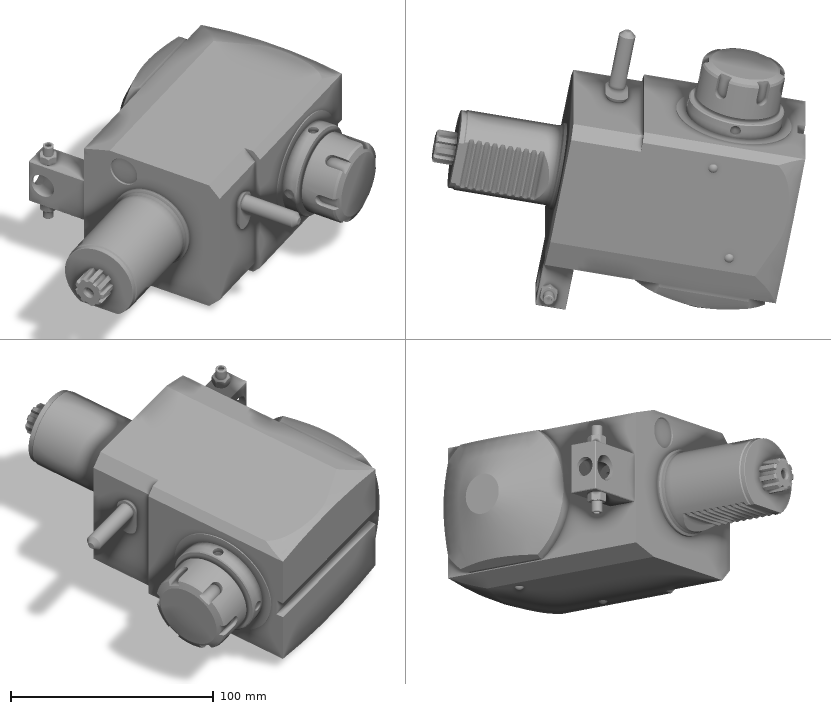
import cadquery as cq
import math


half_height = 37.6
left_x = -38.8
left_half_height = 33.3
left_slope_x = -24.2
right_x = 41.5
right_chamfer = 4.0
step_x = 38.7
step_chamfer = 6.0
step_length = 35.0
rear_y = 116.2
crown_y = 103.0
crown_start = [
    (left_x, 36.2),
    (left_slope_x, half_height),
    (-5.4, 38.7),
    (21.5, 40.5),
    (right_x, 36.2),
]
crown_end = [
    (left_x, left_half_height),
    (12.5, 36.7),
    (right_x, half_height - right_chamfer),
]
rear_slot_width = 9.7
rear_slot_depth = 4.0
sight_x, sight_z = -16.1, 27.5
sight_radius = 7.7
sight_floor_radius = 7.3
sight_depth = 0.7

spindle_y = 80.2
flange_radius = 29.0
flange_end_x = 42.0
ring_radius = 24.0
ring_end_x = 50.0
ring_edge = 0.5
neck_radius = 16.6
nut_start_x = 51.0
nut_radius = 21.0
nut_front_radius = 16.8
nut_edge_x = 69.0
nut_shoulder_x = 70.2
nut_end_x = 71.6
ring_hole_radius = 2.7
ring_hole_x = 46.0
ring_hole_depth = 2.7
ring_hole_tip = 1.6
ring_hole_count = 4
nut_slot_width = 6.5
nut_slot_start_x = 59.0
nut_slot_floor = 17.9
nut_slot_count = 6

cap_radius = 39.7
cap_rim_x = -44.8
cap_nose_x = -58.7
cap_nose_radius = 10.2
cap_flat_reach = 31.5
cap_half_height = 32.8
cap_taper_x = -40.8
cap_taper_angle = 13.0

collar_radius = 21.7
collar_straight = 1.5
collar_length = 2.1
collar_foot_radius = 20.5
collar_foot_end = 3.5
shank_radius = 20.0
shank_shoulder = 49.5
shank_length = 52.6
shank_end_radius = 19.5
shank_end_edge = 0.5
shank_end_chamfer = 0.2
rack_tip = 16.1
rack_root = 14.9
rack_pitch = 4.0
rack_first_tip = 9.3
rack_groove_count = 10
rack_tip_width = 0.5
rack_flank = 0.9

spline_tip = 8.2
spline_root = 6.5
spline_length = 10.2
spline_edge = 0.9
spline_teeth = 9
spline_tip_share = 0.2
spline_root_share = 0.3
center_hole_radius = 2.1
center_sink_radius = 3.0
center_hole_depth = 3.5

coolant_left_x = -71.0
coolant_front_y, coolant_rear_y = 1.0, 16.3
coolant_half_height = 12.4
coolant_edge = 0.4
cross_hole_radius = 6.5
cross_hole_x = -63.0
inlet_radius = 4.8
inlet_y = 7.7
inlet_end_x = -51.9
duct_radius = 1.3
duct_end_x = -44.8
stud_x, stud_y = -62.8, 6.3
hex_nut_corners = 9.3
hex_nut_height = 4.3
hex_nut_edge = 0.5
stud_radius = 2.7
stud_end_z = 22.2
stud_edge = 0.4
stud_socket_corners = 3.5
stud_socket_depth = 1.8

pin_y, pin_z = 21.5, 16.0
pin_radius = 4.1
pin_end_x = 71.6
pin_tip_length = 2.3
pin_tip_radius = 1.8
pin_seat_radius = 4.8
pin_seat_rim_radius = 5.7
pin_seat_height = 2.1
pin_seat_spacing = 9.8

screw_heads = [(-16.8, 88.6), (30.0, 72.0)]
screw_head_radius = 2.3
screw_head_height = 1.5


def turned_about_x(profile, y=0.0, z=0.0):
    """Solid of revolution about an axis along X; the profile holds (x, radius) points."""
    start, end = profile[0][0], profile[-1][0]
    outline = [(start, 0)] + profile + [(end, 0)]
    section = cq.Workplane("XY", origin=(0, y, z)).polyline(outline).close()
    return section.revolve(360, (0, 0, 0), (1, 0, 0))


def turned_about_y(profile):
    """Solid of revolution about the Y axis; the profile holds (radius, y) points."""
    start, end = profile[0][1], profile[-1][1]
    outline = [(0, start)] + profile + [(0, end)]
    return cq.Workplane("XY").polyline(outline).close().revolve(360, (0, 0, 0), (0, 1, 0))


def mirrored_below(upper):
    """The (x, z) points reversed and mirrored to negative z."""
    return [(x, -z) for x, z in reversed(upper)]


def box_between(x, y, z):
    """Box spanning the given (low, high) pairs."""
    sizes = [high - low for low, high in (x, y, z)]
    return cq.Workplane("XY", origin=(x[0], y[0], z[0])).box(*sizes, centered=False)


def extruded_along_y(outline, start, end):
    """Prism with an (x, z) outline between two Y positions."""
    return cq.Workplane("XZ", origin=(0, start, 0)).polyline(outline).close().extrude(start - end)


def housing_outline(face_x, chamfer):
    """Housing cross-section with sloped left flanks and chamfered right edges."""
    upper = [
        (left_x, left_half_height),
        (left_slope_x, half_height),
        (face_x - chamfer, half_height),
        (face_x, half_height - chamfer),
    ]
    return upper + mirrored_below(upper)


def crown_section(workplane, upper):
    """Closed section with curved top and bottom edges across the housing width."""
    lower = mirrored_below(upper)
    return (
        workplane.moveTo(*upper[0])
        .spline(upper[1:], includeCurrent=True)
        .lineTo(*lower[0])
        .spline(lower[1:], includeCurrent=True)
        .close()
    )


def build_housing():
    rear = extruded_along_y(housing_outline(right_x, right_chamfer), step_length, rear_y)
    front = extruded_along_y(housing_outline(step_x, step_chamfer), 0, step_length)

    crown = crown_section(cq.Workplane("XZ", origin=(0, crown_y, 0)), crown_start)
    crown = crown_section(crown.workplane(offset=crown_y - rear_y), crown_end).loft(ruled=True)
    rear_end = box_between((left_x, right_x), (crown_y, rear_y), (-half_height, half_height))
    body = rear.cut(rear_end.cut(crown)).union(front)

    half_slot = rear_slot_width / 2
    slot = box_between((left_x, right_x), (rear_y - rear_slot_depth, rear_y), (-half_slot, half_slot))
    sight = turned_about_y([(sight_radius, 0), (sight_floor_radius, sight_depth)])
    sight = sight.translate((sight_x, 0, sight_z))
    return body.cut(slot).cut(sight)


def turn_about_spindle(solid, angle):
    """Copy of a solid turned about the spindle axis by an angle in degrees."""
    return solid.rotate((0, spindle_y, 0), (1, spindle_y, 0), angle)


def build_spindle():
    body = turned_about_x(
        [
            (left_x, flange_radius),
            (flange_end_x, flange_radius),
            (flange_end_x, ring_radius),
            (ring_end_x - ring_edge, ring_radius),
            (ring_end_x, ring_radius - ring_edge),
            (ring_end_x, neck_radius),
            (nut_start_x, neck_radius),
            (nut_start_x, nut_radius - ring_edge),
            (nut_start_x + ring_edge, nut_radius),
            (nut_edge_x, nut_radius),
            (nut_shoulder_x, nut_radius - ring_edge),
            (nut_end_x, nut_front_radius),
        ],
        y=spindle_y,
    )
    floor = ring_radius - ring_hole_depth
    for index in range(ring_hole_count):
        hole = (
            cq.Workplane("XZ", origin=(ring_hole_x, spindle_y, 0))
            .moveTo(0, floor - ring_hole_tip)
            .lineTo(ring_hole_radius, floor)
            .lineTo(ring_hole_radius, ring_radius)
            .lineTo(0, ring_radius)
            .close()
            .revolve(360, (0, 0, 0), (0, 1, 0))
        )
        body = body.cut(turn_about_spindle(hole, index * 360 / ring_hole_count))

    slot_length = nut_end_x - nut_slot_start_x
    for index in range(nut_slot_count):
        slot = (
            cq.Workplane("XY", origin=(nut_end_x, spindle_y, nut_slot_floor))
            .slot2D(2 * slot_length, nut_slot_width)
            .extrude(nut_radius)
        )
        body = body.cut(turn_about_spindle(slot, (index + 0.5) * 360 / nut_slot_count))
    return body


def build_cap():
    cone = turned_about_x(
        [(left_x, cap_radius), (cap_rim_x, cap_radius), (cap_nose_x, cap_nose_radius)],
        y=spindle_y,
    )
    taper_drop = (cap_taper_x - cap_nose_x) * math.tan(math.radians(cap_taper_angle))
    upper = [
        (left_x, cap_half_height),
        (cap_taper_x, cap_half_height),
        (cap_nose_x, cap_half_height - taper_drop),
    ]
    side = extruded_along_y(
        upper + mirrored_below(upper), spindle_y - cap_radius, spindle_y + cap_flat_reach
    )
    return cone.intersect(side)


def build_shank():
    body = turned_about_y(
        [
            (collar_radius, 0),
            (collar_radius, -collar_straight),
            (collar_foot_radius, -collar_length),
            (shank_radius, -collar_foot_end),
            (shank_radius, -shank_shoulder),
            (shank_end_radius, -shank_shoulder - shank_end_edge),
            (shank_end_radius, shank_end_chamfer - shank_length),
            (shank_end_radius - shank_end_chamfer, -shank_length),
        ]
    )
    runout = rack_first_tip - (collar_radius - rack_tip)
    outline = [(-runout, -collar_radius)]
    for index in range(rack_groove_count):
        tip = -rack_first_tip - index * rack_pitch
        next_tip = tip - rack_pitch
        outline += [
            (tip, -rack_tip),
            (tip - rack_flank, -rack_root),
            (next_tip + rack_tip_width + rack_flank, -rack_root),
            (next_tip + rack_tip_width, -rack_tip),
        ]
    outline += [(-shank_length, -rack_tip), (-shank_length, -collar_radius)]
    rack = (
        cq.Workplane("YZ", origin=(-collar_radius, 0, 0))
        .polyline(outline)
        .close()
        .extrude(2 * collar_radius)
    )
    return body.cut(rack)


def build_spline():
    end = shank_length + spline_length
    tooth_angle = 360 / spline_teeth
    tooth = [
        (-spline_tip_share, spline_tip),
        (spline_tip_share, spline_tip),
        (spline_root_share, spline_root),
        (1 - spline_root_share, spline_root),
    ]
    points = []
    for index in range(spline_teeth):
        for offset, radius in tooth:
            angle = math.radians((index + offset) * tooth_angle)
            points.append((radius * math.cos(angle), radius * math.sin(angle)))
    teeth = extruded_along_y(points, -shank_length, -end)
    envelope = turned_about_y(
        [(spline_tip, -shank_length), (spline_tip, spline_edge - end), (spline_tip - spline_edge, -end)]
    )
    sink = center_sink_radius - center_hole_radius
    center_hole = turned_about_y(
        [
            (center_hole_radius, center_hole_depth - end),
            (center_hole_radius, sink - end),
            (center_sink_radius, -end),
        ]
    )
    return teeth.intersect(envelope).cut(center_hole)


def build_coolant_block():
    block = box_between(
        (coolant_left_x, left_x),
        (coolant_front_y, coolant_rear_y),
        (-coolant_half_height, coolant_half_height),
    )
    block = block.edges("|X").chamfer(coolant_edge).faces("<X").edges().chamfer(coolant_edge)
    cross_hole = (
        cq.Workplane("XZ", origin=(cross_hole_x, coolant_rear_y, 0))
        .circle(cross_hole_radius)
        .extrude(coolant_rear_y)
    )
    inlet = turned_about_x([(coolant_left_x, inlet_radius), (inlet_end_x, inlet_radius)], y=inlet_y)
    duct = turned_about_x([(inlet_end_x, duct_radius), (duct_end_x, duct_radius)], y=inlet_y)
    stud = build_stud()
    lower_stud = stud.mirror("XY")
    return block.cut(cross_hole).cut(inlet).cut(duct).union(stud).union(lower_stud)


def build_stud():
    base = cq.Workplane("XY", origin=(stud_x, stud_y, coolant_half_height))
    envelope = base.circle(hex_nut_corners / 2).extrude(hex_nut_height).edges().chamfer(hex_nut_edge)
    hex_nut = base.polygon(6, hex_nut_corners).extrude(hex_nut_height).intersect(envelope)
    stud = base.circle(stud_radius).extrude(stud_end_z - coolant_half_height)
    stud = stud.faces(">Z").chamfer(stud_edge)
    socket = (
        cq.Workplane("XY", origin=(stud_x, stud_y, stud_end_z))
        .polygon(6, stud_socket_corners)
        .extrude(-stud_socket_depth)
    )
    return hex_nut.union(stud).cut(socket)


def build_pin():
    pin = turned_about_x(
        [
            (step_x, pin_radius),
            (pin_end_x - pin_tip_length, pin_radius),
            (pin_end_x, pin_tip_radius),
        ],
        y=pin_y,
        z=pin_z,
    )
    flare = math.degrees(math.atan((pin_seat_rim_radius - pin_seat_radius) / pin_seat_height))
    seat = (
        cq.Workplane("YZ", origin=(step_x, pin_y, pin_z - pin_seat_spacing / 2))
        .slot2D(pin_seat_spacing + 2 * pin_seat_radius, 2 * pin_seat_radius, 90)
        .extrude(pin_seat_height, taper=-flare)
    )
    return pin.union(seat)


def build_screw_head(x, y):
    """Shallow dome on the underside of the housing."""
    sphere_radius = (screw_head_radius**2 + screw_head_height**2) / (2 * screw_head_height)
    center_z = sphere_radius - screw_head_height - half_height
    return cq.Workplane("XY", origin=(x, y, center_z)).sphere(sphere_radius)


result = build_housing()
for feature in (
    build_spindle(),
    build_cap(),
    build_shank(),
    build_spline(),
    build_coolant_block(),
    build_pin(),
):
    result = result.union(feature)
for head_x, head_y in screw_heads:
    result = result.union(build_screw_head(head_x, head_y))